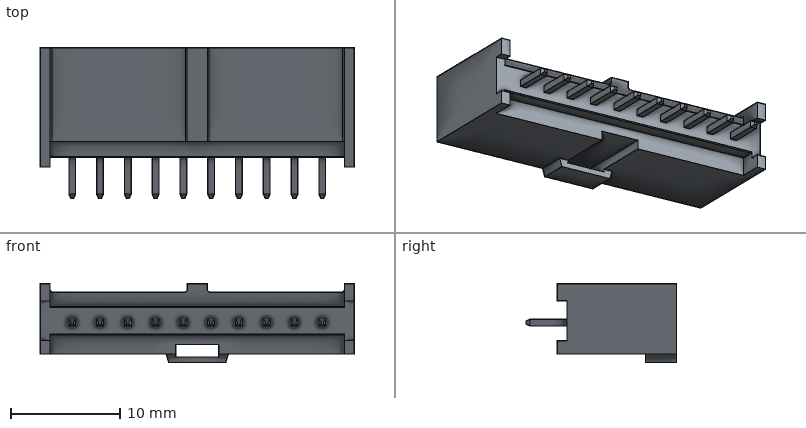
import cadquery as cq


LENGTH = 28.75
DEPTH = 13.8
END_WALL = 0.92
END_WALL_DEPTH = 10.92
END_WALL_HEIGHT = 6.45
SHROUD_HEIGHT = 5.65
SHROUD_DEPTH = 8.6

PIN_WALL_DEPTH = 10.03
PIN_WALL_BOTTOM = 1.72
PIN_WALL_TOP = 4.35
PIN_WALL_CHAMFER = 0.1

NOTCH_BOTTOM = 1.25
NOTCH_TOP = 4.85

RIB_WIDTH = 1.85
ROOF_CHAMFER = 0.17

LATCH_TOP_WIDTH = 5.7
LATCH_BOTTOM_WIDTH = 5.23
LATCH_DEPTH = 2.88
LATCH_DROP = 0.78
WINDOW_WIDTH = 3.9
WINDOW_TOP = 0.85
WINDOW_BOTTOM = -0.25

PIN_COUNT = 10
PIN_ROW = 22.85
PIN_SIZE = 0.63
PIN_HEIGHT = 2.88
TIP_LENGTH = 0.4
TIP_SIZE = 0.25

INNER_LENGTH = LENGTH - 2 * END_WALL
PIN_WALL_FRONT = DEPTH - PIN_WALL_DEPTH
PIN_PITCH = PIN_ROW / (PIN_COUNT - 1)


def block(width, depth, bottom, top):
    """Box centred in X that reaches forward from the mating face by its depth."""
    box = cq.Workplane("XY").box(width, depth, top - bottom, centered=(True, False, False))
    return box.translate((0, DEPTH - depth, bottom))


def extrude_forward(points, depth):
    """Closed XZ outline extruded forward from the mating face."""
    return cq.Workplane("XZ", origin=(0, DEPTH, 0)).polyline(points).close().extrude(depth)


def end_walls():
    walls = block(LENGTH, END_WALL_DEPTH, 0, END_WALL_HEIGHT)
    walls = walls.cut(block(INNER_LENGTH, END_WALL_DEPTH, 0, END_WALL_HEIGHT))
    notch = (
        cq.Workplane("XY")
        .box(LENGTH, PIN_WALL_FRONT, NOTCH_TOP - NOTCH_BOTTOM, centered=(True, False, False))
        .translate((0, 0, NOTCH_BOTTOM))
    )
    return walls.cut(notch)


def shroud():
    core = block(INNER_LENGTH, SHROUD_DEPTH, 0, SHROUD_HEIGHT)
    rib = block(RIB_WIDTH, SHROUD_DEPTH, 0, END_WALL_HEIGHT)
    return core.union(rib)


def pin_wall():
    wall = block(INNER_LENGTH, PIN_WALL_DEPTH, PIN_WALL_BOTTOM, PIN_WALL_TOP)
    return wall.faces("<Y").edges("|X").chamfer(PIN_WALL_CHAMFER)


def roof_corner(x, direction):
    """Triangular strip in a roof corner at x, sloping down towards the given X direction."""
    points = [
        (x, SHROUD_HEIGHT),
        (x + direction * ROOF_CHAMFER, SHROUD_HEIGHT),
        (x, SHROUD_HEIGHT + ROOF_CHAMFER),
    ]
    return extrude_forward(points, SHROUD_DEPTH)


def latch():
    points = [
        (-LATCH_TOP_WIDTH / 2, 0),
        (LATCH_TOP_WIDTH / 2, 0),
        (LATCH_BOTTOM_WIDTH / 2, -LATCH_DROP),
        (-LATCH_BOTTOM_WIDTH / 2, -LATCH_DROP),
    ]
    return extrude_forward(points, LATCH_DEPTH)


def pin(x):
    """Square pin standing out of the pin wall, with a tapered tip, at x."""
    shank_length = PIN_WALL_FRONT - TIP_LENGTH
    wall_plane = cq.Workplane("XZ", origin=(x, PIN_WALL_FRONT, PIN_HEIGHT))
    shank = wall_plane.rect(PIN_SIZE, PIN_SIZE).extrude(shank_length)
    tip = (
        cq.Workplane("XZ", origin=(x, TIP_LENGTH, PIN_HEIGHT))
        .rect(PIN_SIZE, PIN_SIZE)
        .workplane(offset=TIP_LENGTH)
        .rect(TIP_SIZE, TIP_SIZE)
        .loft(ruled=True)
    )
    return shank.union(tip)


result = end_walls().union(shroud()).union(pin_wall()).union(latch())

for side in (-1, 1):
    result = result.union(roof_corner(side * INNER_LENGTH / 2, -side))
    result = result.union(roof_corner(side * RIB_WIDTH / 2, side))

result = result.cut(block(WINDOW_WIDTH, DEPTH, WINDOW_BOTTOM, WINDOW_TOP))

for index in range(PIN_COUNT):
    result = result.union(pin(index * PIN_PITCH - PIN_ROW / 2))